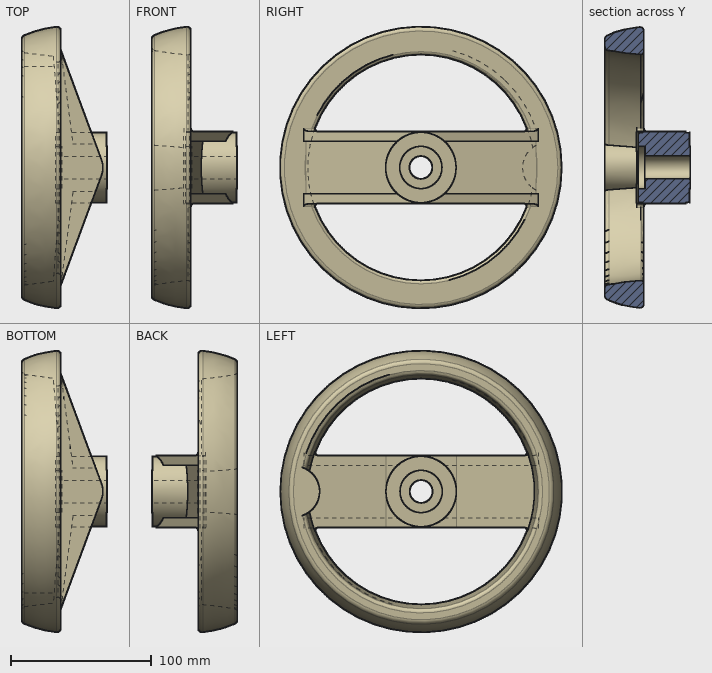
import cadquery as cq
import math

RIM_DEPTH = 28.0
RIM_RADIUS = 100.0
CROWN_FRONT = (2.0, 94.0)
CROWN_MIDDLE = (13.0, 97.8)
CROWN_BACK = (24.8, RIM_RADIUS)
FRONT_FACE_OUTER_RADIUS = 90.8
BORE_FRONT_RADIUS = 83.0
BORE_BACK_RADIUS = 80.0
FRONT_ROUND = 3.0
BACK_ROUND = 3.0
BORE_BACK_ROUND = 2.5

HUB_RADIUS = 25.0
HUB_FRONT = 23.8
HUB_BACK = 60.5
HUB_FRONT_STEP = 3.0
BORE_DIAMETER = 16.0
SEAT_DIAMETER = 30.0
SEAT_DEPTH = 4.8
COLLAR_HEIGHT = 0.6

SPOKE_WIDTH = 51.2
CHANNEL_WIDTH = 37.0
WEB_FRONT = HUB_FRONT + HUB_FRONT_STEP
WEB_FRONT_SLOPE = 0.08
WEB_BACK_PEAK = 38.6
WEB_BACK_SLOPE = 0.13
SPOKE_REACH = 84.0
WALL_PEAK = 58.8
WALL_SLOPE = 0.37
WALL_PEAK_ROUND = 16.0
CORNER_ROUND = 2.0

HANDLE_RADIUS = 18.0
HANDLE_OFFSET = 90.0
HANDLE_END = WEB_FRONT


def x_cylinder(start, end, radius, y=0.0):
    """Cylinder parallel to X between two X positions."""
    return cq.Workplane("YZ", origin=(start, y, 0)).circle(radius).extrude(end - start)


def make_rim():
    diagonal = math.sqrt(0.5)
    back_face_radius = RIM_RADIUS - BACK_ROUND
    front_face_inner_radius = BORE_FRONT_RADIUS + FRONT_ROUND
    front_round_mid = FRONT_ROUND * (1 - diagonal)
    back_round_mid = BACK_ROUND * (1 - diagonal)
    bore_round_mid = BORE_BACK_ROUND * (1 - diagonal)
    profile = (
        cq.Workplane("XY")
        .moveTo(*CROWN_FRONT)
        .threePointArc(CROWN_MIDDLE, CROWN_BACK)
        .threePointArc(
            (RIM_DEPTH - back_round_mid, RIM_RADIUS - back_round_mid),
            (RIM_DEPTH, back_face_radius),
        )
        .lineTo(RIM_DEPTH, BORE_BACK_RADIUS + BORE_BACK_ROUND)
        .threePointArc(
            (RIM_DEPTH - bore_round_mid, BORE_BACK_RADIUS + bore_round_mid),
            (RIM_DEPTH - BORE_BACK_ROUND, BORE_BACK_RADIUS),
        )
        .lineTo(FRONT_ROUND, BORE_FRONT_RADIUS)
        .threePointArc(
            (front_round_mid, BORE_FRONT_RADIUS + front_round_mid),
            (0, front_face_inner_radius),
        )
        .lineTo(0, FRONT_FACE_OUTER_RADIUS)
        .tangentArcPoint(CROWN_FRONT, relative=False)
        .close()
    )
    return profile.revolve(360, (0, 0, 0), (1, 0, 0))


def make_spoke():
    end_front = WEB_FRONT - WEB_FRONT_SLOPE * (SPOKE_REACH - HUB_RADIUS)
    end_web_back = WEB_BACK_PEAK - WEB_BACK_SLOPE * SPOKE_REACH
    end_wall_back = WALL_PEAK - WALL_SLOPE * SPOKE_REACH
    angle = math.atan(WALL_SLOPE)
    round_half_width = WALL_PEAK_ROUND * math.sin(angle)
    round_start = WALL_PEAK - WALL_SLOPE * round_half_width
    round_top = round_start + WALL_PEAK_ROUND * (1 - math.cos(angle))
    body = (
        cq.Workplane("XY")
        .moveTo(WEB_FRONT, -HUB_RADIUS)
        .lineTo(end_front, -SPOKE_REACH)
        .lineTo(end_wall_back, -SPOKE_REACH)
        .lineTo(round_start, -round_half_width)
        .threePointArc((round_top, 0), (round_start, round_half_width))
        .lineTo(end_wall_back, SPOKE_REACH)
        .lineTo(end_front, SPOKE_REACH)
        .lineTo(WEB_FRONT, HUB_RADIUS)
        .close()
        .extrude(SPOKE_WIDTH / 2, both=True)
    )
    channel = (
        cq.Workplane("XY")
        .moveTo(WEB_BACK_PEAK, 0)
        .lineTo(end_web_back, -SPOKE_REACH)
        .lineTo(WALL_PEAK, -SPOKE_REACH)
        .lineTo(WALL_PEAK, SPOKE_REACH)
        .lineTo(end_web_back, SPOKE_REACH)
        .close()
        .extrude(CHANNEL_WIDTH / 2, both=True)
    )
    return body.cut(channel)


def make_hub():
    collar = x_cylinder(HUB_BACK, HUB_BACK + COLLAR_HEIGHT, SEAT_DIAMETER / 2)
    return x_cylinder(HUB_FRONT, HUB_BACK, HUB_RADIUS).union(collar)


def make_handle_boss():
    boss = x_cylinder(0, HANDLE_END, HANDLE_RADIUS, HANDLE_OFFSET)
    return boss.intersect(x_cylinder(0, HANDLE_END, FRONT_FACE_OUTER_RADIUS))


def round_spoke_corners(wheel):
    """Round the corners where the outer sides of the spoke meet the rim."""
    half_width = SPOKE_WIDTH / 2
    margin = 0.2
    inner_reach = HANDLE_OFFSET - HANDLE_RADIUS
    for y_side in (-1, 1):
        for z_side in (-1, 1):
            corner = cq.selectors.BoxSelector(
                (0, y_side * inner_reach, z_side * (half_width - margin)),
                (RIM_DEPTH + margin, y_side * RIM_RADIUS, z_side * (half_width + margin)),
                boundingbox=True,
            )
            wheel = wheel.edges(corner).fillet(CORNER_ROUND)
    return wheel


seat = x_cylinder(HUB_FRONT, HUB_FRONT + SEAT_DEPTH, SEAT_DIAMETER / 2)
bore = x_cylinder(HUB_FRONT, HUB_BACK + COLLAR_HEIGHT, BORE_DIAMETER / 2)

result = round_spoke_corners(make_rim().union(make_spoke()))
result = result.union(make_handle_boss()).union(make_hub())
result = result.cut(seat).cut(bore)